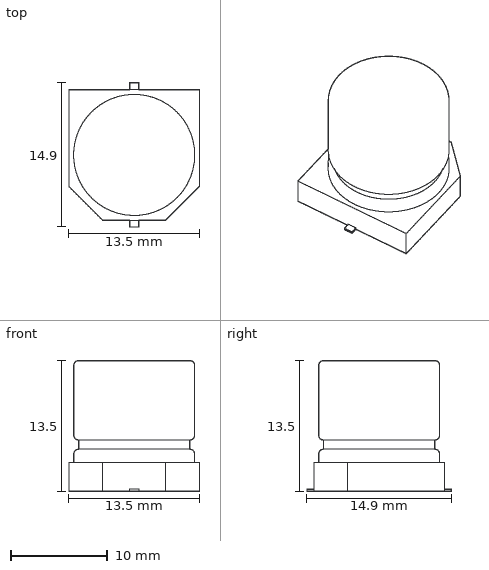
import cadquery as cq

base_size = 13.5
base_height = 3.0
corner_cut = 3.5

total_height = 13.5
can_radius = 12.5 / 2
neck_radius = 11.5 / 2
edge_radius = can_radius - neck_radius
ring_top = 4.35
neck_height = 0.94

lead_span = 14.9
lead_width = 0.95
lead_thickness = 0.22


def make_base():
    """Square plate with its two -Y corners cut off."""
    plate = cq.Workplane("XY").box(base_size, base_size, base_height, centered=(True, True, False))
    return plate.edges("|Z and <Y").chamfer(corner_cut)


def disc(radius, bottom, top):
    """Upright cylinder on the can axis."""
    return cq.Workplane("XY").workplane(offset=bottom).circle(radius).extrude(top - bottom)


def make_can():
    """Lower ring, narrow neck and main body, with rounded rims."""
    body_bottom = ring_top + neck_height
    ring = disc(can_radius, base_height, ring_top).faces(">Z").edges().fillet(edge_radius)
    neck = disc(neck_radius, base_height, total_height - edge_radius)
    body = disc(can_radius, body_bottom, total_height).edges("%CIRCLE").fillet(edge_radius)
    return ring.union(neck).union(body)


def make_leads():
    """Flat strip along Y whose ends stick out of the base as leads."""
    return cq.Workplane("XY").box(lead_width, lead_span, lead_thickness, centered=(True, True, False))


result = make_base().union(make_can()).union(make_leads())